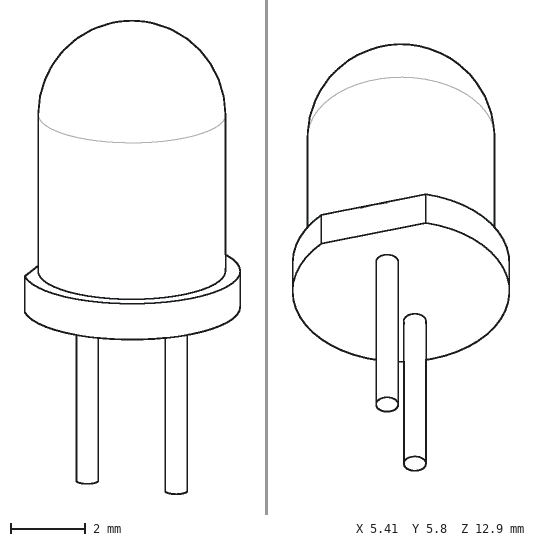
import cadquery as cq

total_height = 12.92
lead_length = 5.01
flange_height = 1.01
flange_diameter = 5.8
lens_diameter = 5.01
lead_diameter = 0.6
lead_spacing = 2.55

lens_radius = lens_diameter / 2
flange_radius = flange_diameter / 2
lens_top = total_height - lead_length
dome_base = lens_top - lens_radius


def make_flange():
    """Round flange with a flat on the -X side, tangent to the lens."""
    disc = cq.Workplane("XY").circle(flange_radius).extrude(flange_height)
    keep_length = lens_radius + flange_radius
    keep = (
        cq.Workplane("XY", origin=(-lens_radius, 0, 0))
        .box(keep_length, flange_diameter, flange_height, centered=(False, True, False))
    )
    return disc.intersect(keep)


def make_lens():
    """Cylinder closed by a hemispherical dome, revolved about Z."""
    dome_mid = lens_radius * 0.5 ** 0.5
    return (
        cq.Workplane("XZ")
        .moveTo(0, flange_height)
        .lineTo(lens_radius, flange_height)
        .lineTo(lens_radius, dome_base)
        .threePointArc((dome_mid, dome_base + dome_mid), (0, lens_top))
        .close()
        .revolve(360, (0, 0, 0), (0, 1, 0))
    )


def make_leads():
    """Two round leads below the flange, side by side along X."""
    return (
        cq.Workplane("XY")
        .pushPoints([(side * lead_spacing / 2, 0) for side in (-1, 1)])
        .circle(lead_diameter / 2)
        .extrude(-lead_length)
    )


result = make_flange().union(make_lens()).union(make_leads())